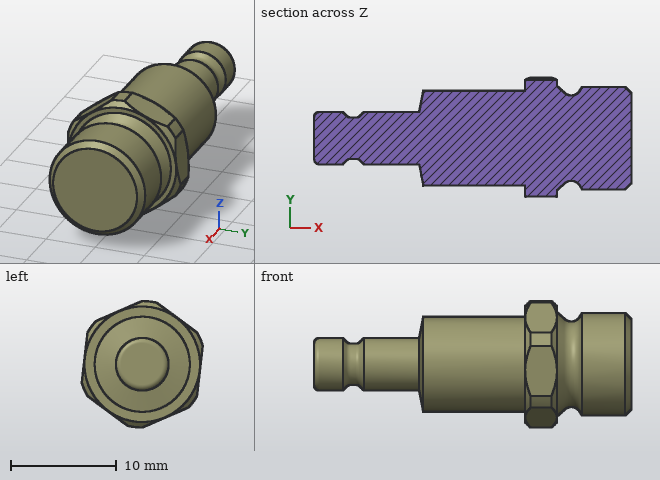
import cadquery as cq
import math

TOTAL_LENGTH = 30.05
DIAGONAL = math.sqrt(0.5)

PIN_RADIUS = 5.0 / 2
PIN_TIP_FILLET = 0.5
PIN_GROOVE_START = 2.73
PIN_GROOVE_END = 4.72
PIN_GROOVE_RADIUS = 3.95 / 2
PIN_GROOVE_FILLET = 0.5

SHOULDER_START = 9.95
SHOULDER_LENGTH = 0.4
BODY_RADIUS = 9.0 / 2

HEX_START = 19.95
HEX_LENGTH = 3.07
HEX_ACROSS_FLATS = 11.0
HEX_CORNER_RADIUS = 12.0 / 2
HEX_FACE_RADIUS = 10.95 / 2
HEX_CHAMFER_LENGTH = 0.55
HEX_TURN = 23.5

HEAD_START = 25.35
HEAD_RADIUS = 9.75 / 2
HEAD_CHAMFER = 0.6
HEAD_FRONT_BEVEL_LENGTH = 0.18
HEAD_FRONT_BEVEL_DEPTH = 0.3
NECK_RADIUS = 8.1 / 2
NECK_ARC_RADIUS = 0.93
NECK_CONE_ANGLE = 42.0


def turned_profile():
    """Revolve the pin, body, neck and head in one piece."""
    hex_end = HEX_START + HEX_LENGTH

    fillet_run = PIN_GROOVE_FILLET * DIAGONAL
    fillet_rise = PIN_GROOVE_FILLET - fillet_run
    wall_run = PIN_RADIUS - PIN_GROOVE_RADIUS - fillet_rise
    fillet_top = PIN_GROOVE_RADIUS + fillet_rise
    floor_start = PIN_GROOVE_START + wall_run + fillet_run
    floor_end = PIN_GROOVE_END - wall_run - fillet_run

    cone_angle = math.radians(NECK_CONE_ANGLE)
    arc_center_radius = NECK_RADIUS + NECK_ARC_RADIUS
    neck_end = HEAD_START - HEAD_FRONT_BEVEL_LENGTH
    neck_end_radius = HEAD_RADIUS - HEAD_FRONT_BEVEL_DEPTH
    arc_rear_width = math.sqrt(NECK_ARC_RADIUS**2 - (arc_center_radius - neck_end_radius) ** 2)
    neck_middle = neck_end - arc_rear_width
    neck_start = neck_middle - NECK_ARC_RADIUS * math.sin(cone_angle)
    neck_start_radius = arc_center_radius - NECK_ARC_RADIUS * math.cos(cone_angle)
    cone_radius = neck_start_radius + (neck_start - hex_end) * math.tan(cone_angle)

    tip_inset = PIN_TIP_FILLET * (1 - DIAGONAL)
    profile = (
        cq.Workplane("XY")
        .moveTo(0, 0)
        .lineTo(0, PIN_RADIUS - PIN_TIP_FILLET)
        .threePointArc((tip_inset, PIN_RADIUS - tip_inset), (PIN_TIP_FILLET, PIN_RADIUS))
        .lineTo(PIN_GROOVE_START, PIN_RADIUS)
        .lineTo(PIN_GROOVE_START + wall_run, fillet_top)
        .tangentArcPoint((floor_start, PIN_GROOVE_RADIUS), relative=False)
        .lineTo(floor_end, PIN_GROOVE_RADIUS)
        .tangentArcPoint((floor_end + fillet_run, fillet_top), relative=False)
        .lineTo(PIN_GROOVE_END, PIN_RADIUS)
        .lineTo(SHOULDER_START, PIN_RADIUS)
        .lineTo(SHOULDER_START + SHOULDER_LENGTH, BODY_RADIUS)
        .lineTo(hex_end, BODY_RADIUS)
        .lineTo(hex_end, cone_radius)
        .lineTo(neck_start, neck_start_radius)
        .threePointArc((neck_middle, NECK_RADIUS), (neck_end, neck_end_radius))
        .lineTo(HEAD_START, HEAD_RADIUS)
        .lineTo(TOTAL_LENGTH - HEAD_CHAMFER, HEAD_RADIUS)
        .lineTo(TOTAL_LENGTH, HEAD_RADIUS - HEAD_CHAMFER)
        .lineTo(TOTAL_LENGTH, 0)
        .close()
    )
    return profile.revolve(360, (0, 0, 0), (1, 0, 0))


def hex_collar():
    """Hexagonal prism trimmed by a turned blank with chamfered ends."""
    hex_end = HEX_START + HEX_LENGTH
    across_corners = HEX_ACROSS_FLATS / math.cos(math.radians(30))
    prism = (
        cq.Workplane("YZ", origin=(HEX_START, 0, 0))
        .polygon(6, across_corners)
        .extrude(HEX_LENGTH)
        .rotate((0, 0, 0), (1, 0, 0), -HEX_TURN)
    )
    blank = (
        cq.Workplane("XY")
        .moveTo(HEX_START, 0)
        .lineTo(HEX_START, HEX_FACE_RADIUS)
        .lineTo(HEX_START + HEX_CHAMFER_LENGTH, HEX_CORNER_RADIUS)
        .lineTo(hex_end - HEX_CHAMFER_LENGTH, HEX_CORNER_RADIUS)
        .lineTo(hex_end, HEX_FACE_RADIUS)
        .lineTo(hex_end, 0)
        .close()
        .revolve(360, (0, 0, 0), (1, 0, 0))
    )
    return prism.intersect(blank)


result = turned_profile().union(hex_collar())